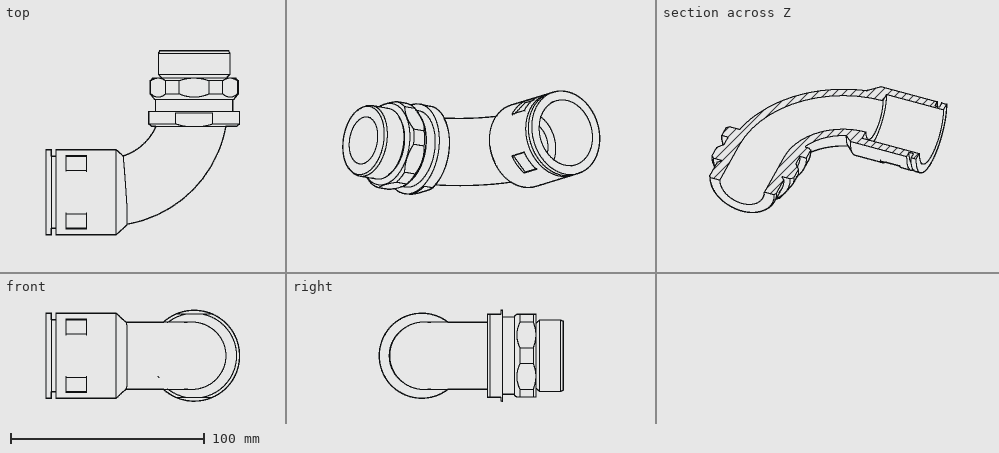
import cadquery as cq
import math

socket_radius = 22.0
socket_bore_radius = 34.5 / 2
socket_bore_depth = 31.5
rim_end = 2.9
groove_end = 5.2
groove_radius = 37.3 / 2
socket_body_end = 36.3
cone_end = 42.0
cone_end_radius = 16.8

window_count = 4
window_first_angle = 45.0
window_start = 10.4
window_length = 10.5
window_width = 11.1
window_floor_radius = 20.4

tube_radius = 17.4
elbow_bore_radius = 24.5 / 2
bend_radius = 45.0
bend_start = socket_bore_depth
thread_axis_x = bend_start + bend_radius

flange_start = 33.9
flange_end = 41.7
flange_radius = 23.5
flange_chamfer_length = 1.3
flange_chamfer_depth = 1.6
flange_flat_distance = 21.5
flange_lip = 0.9
neck_radius = 20.0
nut_start = 47.7
nut_end = 59.0
nut_radius = 22.75
nut_flat_distance = 21.4
nut_lower_chamfer_length = 3.0
nut_lower_chamfer_depth = 2.4
nut_upper_chamfer = 1.5
relief_radius = 16.8
relief_end = 60.8
thread_radius = 18.5
thread_end = 73.0
thread_chamfer_length = 1.5
thread_chamfer_depth = 0.7


def make_socket():
    """Turned socket with a grooved mouth and a tapered back."""
    profile = [
        (0, 0),
        (0, socket_radius),
        (rim_end, socket_radius),
        (rim_end, groove_radius),
        (groove_end, groove_radius),
        (groove_end, socket_radius),
        (socket_body_end, socket_radius),
        (cone_end, cone_end_radius),
        (cone_end, 0),
    ]
    return cq.Workplane("XY").polyline(profile).close().revolve(360, (0, 0, 0), (1, 0, 0))


def make_window_cutters():
    """Blocks that cut the flat-bottomed windows into the socket wall."""
    block = cq.Workplane("XY").box(
        window_length, window_width, socket_radius, centered=(False, True, False)
    ).translate((window_start, 0, window_floor_radius))
    cutters = cq.Workplane("XY")
    for index in range(window_count):
        angle = window_first_angle + index * 360 / window_count
        cutters = cutters.add(block.rotate((0, 0, 0), (1, 0, 0), angle))
    return cutters.combine()


def make_bend(radius):
    """Solid quarter torus between the socket and threaded axes."""
    return (
        cq.Workplane("YZ", origin=(bend_start, 0, 0))
        .circle(radius)
        .revolve(90, (bend_radius, 0, 0), (bend_radius, 1, 0))
    )


def turn_about_thread_axis(profile):
    """Revolve (radius, Y) points about the threaded axis."""
    return (
        cq.Workplane("XY", origin=(thread_axis_x, 0, 0))
        .polyline(profile)
        .close()
        .revolve(360, (0, 0, 0), (0, 1, 0))
    )


def make_flange():
    """Chamfered flange with two opposite flats below a full round lip."""
    flange = turn_about_thread_axis([
        (0, flange_start),
        (flange_radius - flange_chamfer_depth, flange_start),
        (flange_radius, flange_start + flange_chamfer_length),
        (flange_radius, flange_end),
        (0, flange_end),
    ])
    flat_length = flange_end - flange_lip - flange_start
    for side in (1, -1):
        cutter_center_z = side * (flange_flat_distance + flange_radius / 2)
        cutter = cq.Workplane("XY").box(
            2 * flange_radius, flat_length, flange_radius
        ).translate((thread_axis_x, flange_start + flat_length / 2, cutter_center_z))
        flange = flange.cut(cutter)
    return flange


def make_nut():
    """Rounded-corner hexagon with conical chamfers and flats facing up and down."""
    blank = turn_about_thread_axis([
        (0, nut_start),
        (nut_radius - nut_lower_chamfer_depth, nut_start),
        (nut_radius, nut_start + nut_lower_chamfer_length),
        (nut_radius, nut_end - nut_upper_chamfer),
        (nut_radius - nut_upper_chamfer, nut_end),
        (0, nut_end),
    ])
    corner_diameter = 2 * nut_flat_distance / math.cos(math.radians(30))
    hexagon = (
        cq.Workplane("XZ", origin=(thread_axis_x, nut_end, 0))
        .polygon(6, corner_diameter)
        .extrude(nut_end - nut_start)
    )
    return blank.intersect(hexagon)


def make_thread():
    """Plain neck, thread relief and chamfered thread cylinder."""
    neck = turn_about_thread_axis([
        (0, flange_end),
        (neck_radius, flange_end),
        (neck_radius, nut_start),
        (0, nut_start),
    ])
    thread = turn_about_thread_axis([
        (0, nut_end),
        (relief_radius, nut_end),
        (thread_radius, relief_end),
        (thread_radius, thread_end - thread_chamfer_length),
        (thread_radius - thread_chamfer_depth, thread_end),
        (0, thread_end),
    ])
    return neck, thread


def make_bores():
    """Socket counterbore, curved passage and straight outlet."""
    socket_bore = cq.Workplane("YZ").circle(socket_bore_radius).extrude(socket_bore_depth)
    outlet = (
        cq.Workplane("XZ", origin=(thread_axis_x, bend_radius, 0))
        .circle(elbow_bore_radius)
        .extrude(bend_radius - thread_end)
    )
    return socket_bore, make_bend(elbow_bore_radius), outlet


body = make_socket().cut(make_window_cutters()).union(make_bend(tube_radius))
neck, thread = make_thread()
for section in (make_flange(), neck, make_nut(), thread):
    body = body.union(section)
for bore in make_bores():
    body = body.cut(bore)
result = body